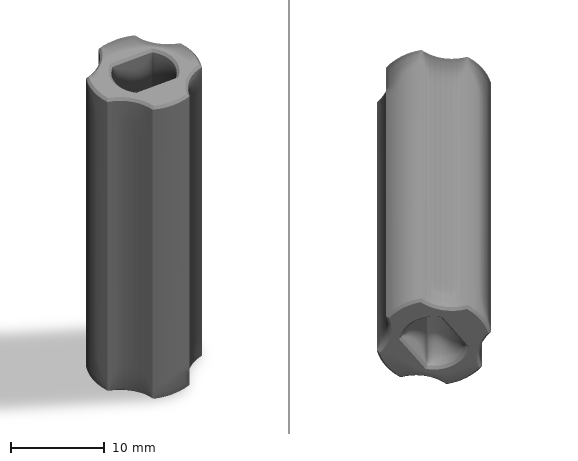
import cadquery as cq
import math

length = 40.6
outer_diameter = 12.47
lobe_tip_chord = 4.55
flute_radius = 4.8
bore_diameter = 7.0
bore_flat_width = 5.0
edge_chamfer = 0.3

flute_count = 4
first_flute_angle = 45

outer_radius = outer_diameter / 2
lobe_half_width = lobe_tip_chord / 2
lobe_edge_reach = math.sqrt(outer_radius**2 - lobe_half_width**2)
flute_chord_distance = (lobe_edge_reach + lobe_half_width) / math.sqrt(2)
flute_half_chord = (lobe_edge_reach - lobe_half_width) / math.sqrt(2)
flute_center_distance = flute_chord_distance + math.sqrt(flute_radius**2 - flute_half_chord**2)


def make_shaft():
    """Cylinder along Z with concave flutes between its lobes."""
    shaft = cq.Workplane("XY").circle(outer_radius).extrude(length)
    flutes = (
        cq.Workplane("XY")
        .polarArray(flute_center_distance, first_flute_angle, 360, flute_count)
        .circle(flute_radius)
        .extrude(length)
    )
    return shaft.cut(flutes)


def make_bore():
    """Round through bore with a flat on its +X and -X sides."""
    bore = cq.Workplane("XY").circle(bore_diameter / 2).extrude(length)
    flats = cq.Workplane("XY").rect(bore_flat_width, bore_diameter).extrude(length)
    return bore.intersect(flats)


sleeve = make_shaft().cut(make_bore())
result = sleeve.faces("<Z or >Z").edges().chamfer(edge_chamfer)